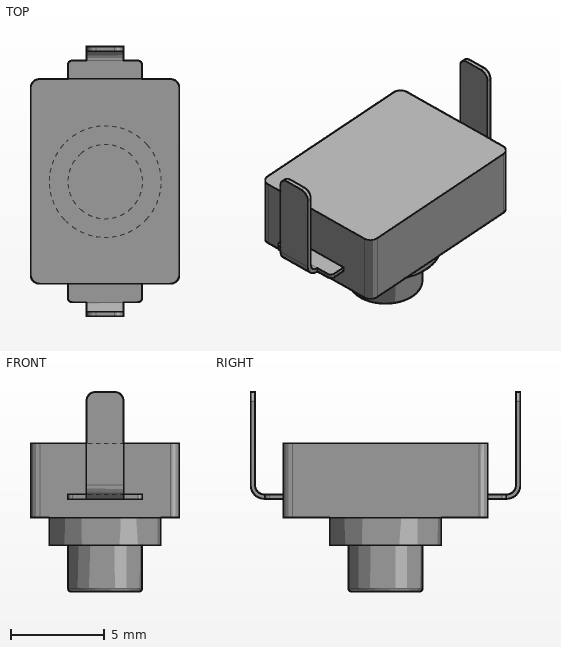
import cadquery as cq

total_length = 14.5

housing_width = 8.0
housing_length = 11.0
housing_height = 4.0
housing_corner_radius = 0.5
collar_diameter = 6.0
collar_height = 1.5
plunger_diameter = 4.0
plunger_height = 2.5
plunger_edge_radius = 0.2

sheet_thickness = 0.25
tab_width = 4.0
tab_corner_radius = 0.25
tab_bottom_z = 1.0
blade_width = 2.0
blade_top_z = 6.75
blade_corner_radius = 0.5
bend_outer_radius = 0.75
bend_inner_radius = bend_outer_radius - sheet_thickness

housing_end_y = housing_length / 2
blade_outer_y = total_length / 2
bend_start_y = blade_outer_y - bend_outer_radius


def make_housing():
    """Block standing on Z = 0, with the collar and plunger hanging below it."""
    block = (
        cq.Workplane("XY")
        .rect(housing_width, housing_length)
        .extrude(housing_height)
        .edges("|Z")
        .fillet(housing_corner_radius)
    )
    collar = cq.Workplane("XY").circle(collar_diameter / 2).extrude(-collar_height)
    plunger = (
        cq.Workplane("XY", origin=(0, 0, -collar_height))
        .circle(plunger_diameter / 2)
        .extrude(-plunger_height)
        .faces("<Z")
        .edges()
        .fillet(plunger_edge_radius)
    )
    return block.union(collar).union(plunger)


def make_tab():
    """Flat tab against the -Y end of the housing, its two free corners rounded."""
    tab_length = bend_start_y - housing_end_y
    return (
        cq.Workplane("XY", origin=(0, -housing_end_y - tab_length / 2, tab_bottom_z))
        .rect(tab_width, tab_length)
        .extrude(sheet_thickness)
        .edges("|Z and <Y")
        .fillet(tab_corner_radius)
    )


def make_blade():
    """Bend and upright blade that continue outward from the tab at the -Y end."""
    bend_center_z = tab_bottom_z + bend_outer_radius
    blade_inner_y = blade_outer_y - sheet_thickness
    return (
        cq.Workplane("YZ")
        .moveTo(-bend_start_y, tab_bottom_z)
        .radiusArc((-blade_outer_y, bend_center_z), bend_outer_radius)
        .lineTo(-blade_outer_y, blade_top_z)
        .lineTo(-blade_inner_y, blade_top_z)
        .lineTo(-blade_inner_y, bend_center_z)
        .radiusArc((-bend_start_y, tab_bottom_z + sheet_thickness), -bend_inner_radius)
        .close()
        .extrude(blade_width / 2, both=True)
        .faces(">Z")
        .edges("|Y")
        .fillet(blade_corner_radius)
    )


def make_terminal(turn_angle):
    """One terminal, turned about the Z axis to its end of the housing."""
    terminal = make_tab().union(make_blade())
    return terminal.rotate((0, 0, 0), (0, 0, 1), turn_angle)


housing = make_housing()
terminals = [make_terminal(turn_angle).val() for turn_angle in (0, 180)]

result = cq.Compound.makeCompound([housing.val(), *terminals])